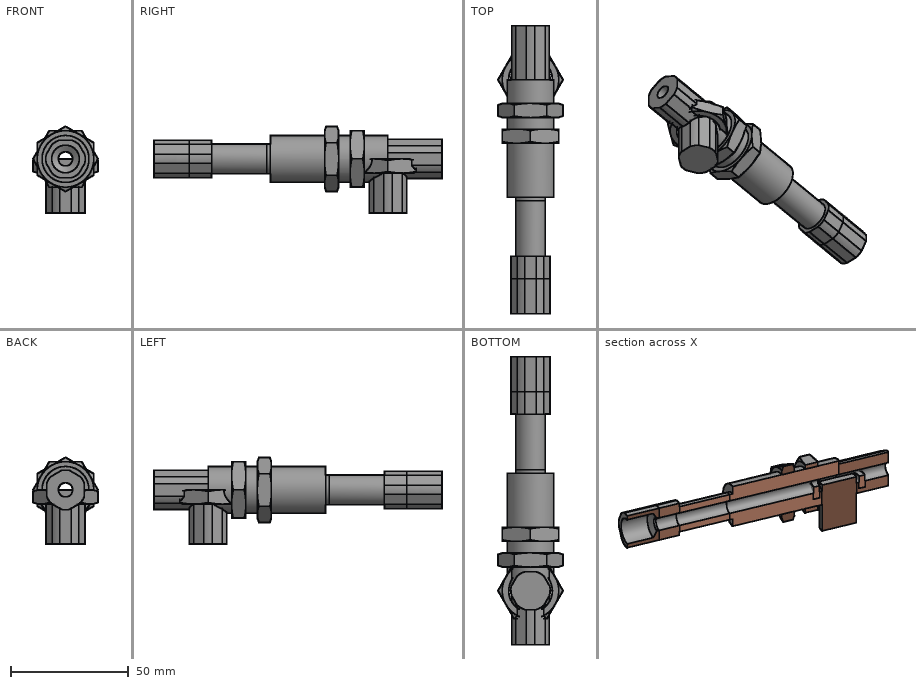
import cadquery as cq
import math


barrel_diameter = 20.0
barrel_length = 50.0
collar_length = 1.5

rod_diameter = 12.7
rod_reach = 25.0
bore_diameter = 6.0

inner_sleeve_length = 9.5
band_length = 5.4
nose_length = 9.5

mouth_diameter = 11.8
mouth_depth = 12.2
drill_point_angle = 118

bar_across_flats = 16.0
bar_diameter = 16.8
rear_fitting_diameter = 16.9
fitting_length = 23.0

nut_across_flats = 24.0
nut_thickness = 6.0
nut_chamfer_angle = 20
port_nut_bore = 18.5
first_nut_y = -10.0
nut_spacing = 10.9

corner_on_x = 0
flat_on_x = 30
hexagon_half_angle = math.radians(30)

barrel_front_y = -barrel_length
collar_front_y = barrel_front_y - collar_length
rod_front_y = barrel_front_y - rod_reach
outer_sleeve_rear_y = rod_front_y - inner_sleeve_length
outer_sleeve_length = band_length + nose_length
front_y = outer_sleeve_rear_y - outer_sleeve_length


def cylinder(diameter, length):
    """A cylinder that hangs down from Z = 0."""
    return cq.Workplane("XY").circle(diameter / 2).extrude(-length)


def hexagon(across_flats, length, turn):
    """A hexagonal prism that hangs down from Z = 0."""
    across_corners = across_flats / math.cos(hexagon_half_angle)
    prism = cq.Workplane("XY").polygon(6, across_corners).extrude(-length)
    return prism.rotate((0, 0, 0), (0, 0, 1), turn)


def rounded_bar(diameter, length, turn):
    """A hexagonal bar with its corners turned down to a diameter."""
    return hexagon(bar_across_flats, length, turn).intersect(cylinder(diameter, length))


def nut(bore, turn):
    """A hexagon nut that hangs down from Z = 0, with its corners chamfered at both faces."""
    face_radius = nut_across_flats / 2
    corner_radius = face_radius / math.cos(hexagon_half_angle)
    drop = (corner_radius - face_radius) * math.tan(math.radians(nut_chamfer_angle))
    envelope = (
        cq.Workplane("XZ")
        .moveTo(0, 0)
        .lineTo(face_radius, 0)
        .lineTo(corner_radius, -drop)
        .lineTo(corner_radius, drop - nut_thickness)
        .lineTo(face_radius, -nut_thickness)
        .lineTo(0, -nut_thickness)
        .close()
        .revolve(360, (0, 0), (0, 1))
    )
    blank = hexagon(nut_across_flats, nut_thickness, turn).intersect(envelope)
    return blank.cut(cylinder(bore, nut_thickness))


def along_y(body, rear_y):
    """Lay a hanging body along the cylinder's axis, from rear_y toward -Y."""
    return body.rotate((0, 0, 0), (1, 0, 0), -90).translate((0, rear_y, 0))


def drilled_mouth():
    """The space cut by a drill that enters the front end, down to its conical point."""
    point_height = mouth_diameter / 2 / math.tan(math.radians(drill_point_angle / 2))
    profile = (
        cq.Workplane("XY")
        .moveTo(0, front_y)
        .lineTo(mouth_diameter / 2, front_y)
        .lineTo(mouth_diameter / 2, front_y + mouth_depth)
        .lineTo(0, front_y + mouth_depth + point_height)
        .close()
    )
    return profile.revolve(360, (0, 0), (0, 1))


bore = along_y(cylinder(bore_diameter, fitting_length - front_y), fitting_length)
mouth = drilled_mouth()

port_fitting = rounded_bar(bar_diameter, fitting_length, corner_on_x)

port_nut = nut(port_nut_bore, corner_on_x)


def clear_of_port(body):
    """Recess a body where the port fitting and its nut go into it."""
    return body.cut(port_fitting).cut(port_nut)


barrel_tube = along_y(cylinder(barrel_diameter, barrel_length), 0)
collar = along_y(cylinder(rod_diameter, collar_length), barrel_front_y)
barrel = clear_of_port(barrel_tube.union(collar).cut(bore))

rear_bar = along_y(rounded_bar(rear_fitting_diameter, fitting_length, flat_on_x), fitting_length)
rear_fitting = clear_of_port(rear_bar.cut(bore))

barrel_nuts = []
for index, turn in enumerate((corner_on_x, flat_on_x)):
    nut_y = first_nut_y - index * nut_spacing
    barrel_nuts.append(along_y(nut(barrel_diameter, turn), nut_y))

rod = along_y(cylinder(rod_diameter, collar_front_y - rod_front_y), collar_front_y).cut(bore)

inner_bar = rounded_bar(bar_diameter, inner_sleeve_length, corner_on_x)
inner_sleeve = along_y(inner_bar, rod_front_y).cut(bore)

band = along_y(rounded_bar(bar_diameter, band_length, corner_on_x), outer_sleeve_rear_y)
nose = along_y(rounded_bar(bar_diameter, nose_length, corner_on_x), front_y + nose_length)
outer_sleeve = band.union(nose, clean=False).cut(bore, clean=False).cut(mouth, clean=False)

bodies = [
    barrel,
    rear_fitting,
    port_fitting,
    port_nut,
    *barrel_nuts,
    rod,
    inner_sleeve,
    outer_sleeve,
]
result = cq.Compound.makeCompound([body.solids().val() for body in bodies])